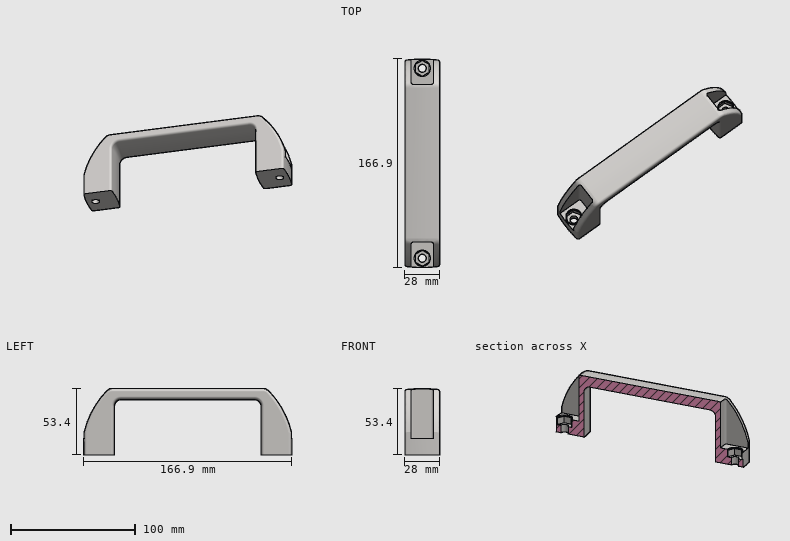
import cadquery as cq

length = 166.9
width = 28.0
height = 53.4

half_length = length / 2
leg_thickness = 25.0
bar_thickness = 9.3
inner_y = half_length - leg_thickness
inner_z = height - bar_thickness
inner_corner_radius = 5.0
outer_corner_radius = 7.0
shoulder_z = 18.2
arch_mid_y = 76.3
arch_mid_z = 36.7
arch_top_y = 63.5

crown_radius = 100.1
edge_radius = 2.0
cutter_margin = 1.7

pocket_width = 17.9
pocket_wall_y = 63.1
pocket_floor_z = 13.4
pocket_corner_radius = 1.7
hole_y = 76.0
hole_diameter = 6.2
recess_diameter = 13.0
recess_depth = 1.0
nut_across_flats = 11.0
nut_depth = 6.7
nut_corner_diameter = nut_across_flats / (3 ** 0.5 / 2)


def outer_path(start_z):
    """Outer outline from one foot to the other, with rounded top corners."""
    sharp = (
        cq.Workplane("YZ")
        .moveTo(-half_length, start_z)
        .lineTo(-half_length, shoulder_z)
        .threePointArc((-arch_mid_y, arch_mid_z), (-arch_top_y, height))
        .lineTo(arch_top_y, height)
        .threePointArc((arch_mid_y, arch_mid_z), (half_length, shoulder_z))
        .lineTo(half_length, start_z)
        .wire()
        .val()
    )
    top_corners = [v for v in sharp.Vertices() if abs(v.Z - height) < edge_radius]
    return sharp.fillet(outer_corner_radius, top_corners)


def inner_path(start_z):
    """Hand opening outline from one foot to the other."""
    sharp = (
        cq.Workplane("YZ")
        .moveTo(-inner_y, start_z)
        .lineTo(-inner_y, inner_z)
        .lineTo(inner_y, inner_z)
        .lineTo(inner_y, start_z)
        .wire()
        .val()
    )
    top_corners = [v for v in sharp.Vertices() if v.Z > start_z + edge_radius]
    return sharp.fillet(inner_corner_radius, top_corners)


def crown_cutter(path, start_y, start_z, outward):
    """Waste outside the crowned section, swept along a path.

    outward is +1 or -1: the Y direction pointing away from the material at the start.
    """
    half_width = width / 2
    corner_x = half_width - edge_radius
    corner_center = ((crown_radius - edge_radius) ** 2 - corner_x ** 2) ** 0.5 - crown_radius
    tangent_scale = crown_radius / (crown_radius - edge_radius)
    tangent_x = corner_x * tangent_scale
    tangent_v = (corner_center + crown_radius) * tangent_scale - crown_radius
    diagonal = edge_radius / 2 ** 0.5
    arc_mid = (corner_x + diagonal, corner_center + diagonal)

    def place(x, v):
        return (x, start_y + outward * v)

    section = (
        cq.Workplane("XY", origin=(0, 0, start_z))
        .moveTo(*place(-half_width, corner_center))
        .threePointArc(place(-arc_mid[0], arc_mid[1]), place(-tangent_x, tangent_v))
        .threePointArc(place(0, 0), place(tangent_x, tangent_v))
        .threePointArc(place(*arc_mid), place(half_width, corner_center))
        .lineTo(*place(half_width + cutter_margin, corner_center))
        .lineTo(*place(half_width + cutter_margin, cutter_margin))
        .lineTo(*place(-half_width - cutter_margin, cutter_margin))
        .lineTo(*place(-half_width - cutter_margin, corner_center))
        .close()
    )
    return section.sweep(cq.Workplane(obj=path), transition="right")


def handle_body():
    """Bridge-shaped handle with crowned outer and inner faces."""
    outer = cq.Workplane("YZ").add(outer_path(0).close()).toPending().extrude(width / 2, both=True)
    opening = cq.Workplane("YZ").add(inner_path(0).close()).toPending().extrude(width / 2, both=True)
    start_z = -cutter_margin
    body = outer.cut(opening)
    body = body.cut(crown_cutter(outer_path(start_z), -half_length, start_z, -1))
    return body.cut(crown_cutter(inner_path(start_z), -inner_y, start_z, 1))


def pocket_cutter():
    """Open pocket in the +Y leg with its recess, nut seat and screw hole."""
    pocket_depth = 2 * (half_length - pocket_wall_y)
    pocket = (
        cq.Workplane("XY", origin=(0, pocket_wall_y + pocket_depth / 2, pocket_floor_z))
        .rect(pocket_width, pocket_depth)
        .extrude(height)
        .edges("|Z and <Y")
        .fillet(pocket_corner_radius)
    )
    floor = cq.Workplane("XY", origin=(0, hole_y, pocket_floor_z))
    recess = floor.circle(recess_diameter / 2).extrude(-recess_depth)
    nut_seat = (
        floor.transformed(rotate=(0, 0, 90))
        .polygon(6, nut_corner_diameter)
        .extrude(-nut_depth)
    )
    hole = floor.circle(hole_diameter / 2).extrude(-pocket_floor_z)
    return pocket.union(recess).union(nut_seat).union(hole)


pocket = pocket_cutter()
result = handle_body().cut(pocket).cut(pocket.mirror("XZ"))